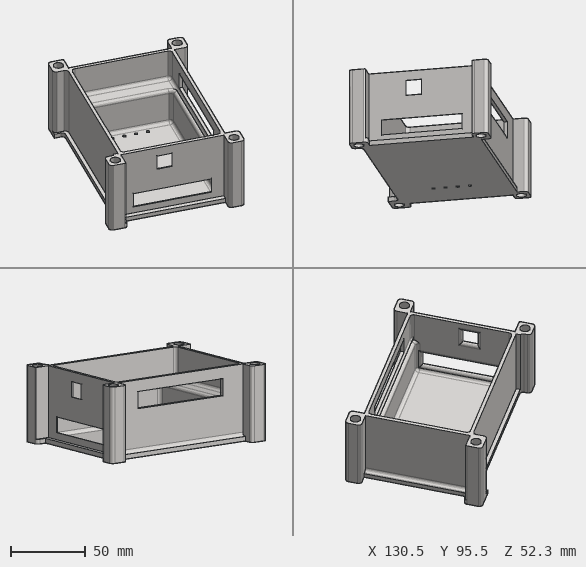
import cadquery as cq
import math

length = 130.5
width = 95.5
height = 52.3

radius = 2.5

box_length = 109.3
box_width = 75.7
wall = 2.5

base_length = 116.1
base_width = 81.1
base_height = 3.3

post_length = 12.8
post_width = 11.4
foot_shift = 1.5
screw_hole_diameter = 6.8
screw_hole_inset = 5.7

floor_height = 3.7
shelf_height = 29.7
left_shelf = 13.3
back_shelf = 3.7

pin_diameter = 2.1
pin_pitch = 8.3
pin_count = 4
pin_x = -33.5

back_window_length = 71.2
back_window_bottom = 32.6
back_window_top = 44.4

low_window_width = 55.3
low_window_bottom = 8.1
low_window_height = 10.7
square_window_size = 10.6
square_window_y = -5.5
square_window_z = 40.3

x_end = length / 2
y_end = width / 2
post_x = x_end - post_length
post_y = y_end - post_width
cavity_x = box_length / 2 - wall
cavity_y = box_width / 2 - wall

full_x = (-x_end, x_end)
full_y = (-y_end, y_end)
full_z = (0, height)

near = 0.01


def make_block(x_range, y_range, z_range):
    """Box spanning the given (low, high) ranges."""
    x0, x1 = x_range
    y0, y1 = y_range
    z0, z1 = z_range
    return cq.Workplane("XY").box(x1 - x0, y1 - y0, z1 - z0, centered=False).translate((x0, y0, z0))


def make_centered_block(x_size, y_size, z_range):
    return make_block((-x_size / 2, x_size / 2), (-y_size / 2, y_size / 2), z_range)


def make_rounded_block(x_range, y_range, z_range, corner_radius):
    return make_block(x_range, y_range, z_range).edges("|Z").fillet(corner_radius)


def round_upright_edges(solid, points):
    """Round the vertical edges that pass through the given (x, y) points."""
    for x, y in points:
        corner = cq.selectors.BoxSelector((x - near, y - near, 0), (x + near, y + near, height))
        solid = solid.edges("|Z").edges(corner).fillet(radius)
    return solid


def make_footprint(z_range):
    """Base plate with four feet; the front feet are shifted right and back from their posts."""
    left_foot_x = -post_x + foot_shift
    right_foot_x = post_x + foot_shift
    front_foot_y = -post_y + foot_shift
    feet = [
        ((-x_end, left_foot_x), (-y_end, front_foot_y)),
        ((right_foot_x, x_end), (-y_end, front_foot_y)),
        ((-x_end, -post_x), (post_y, y_end)),
        ((post_x, x_end), (post_y, y_end)),
    ]
    plate = make_centered_block(base_length, base_width, z_range)
    for x_range, y_range in feet:
        plate = plate.union(make_block(x_range, y_range, z_range))

    front_corners = [
        (-x_end, -y_end),
        (-x_end, front_foot_y),
        (right_foot_x, -y_end),
        (x_end, -y_end),
        (x_end, front_foot_y),
    ]
    back_corners = []
    for side in (-1, 1):
        back_corners += [(side * x_end, y_end), (side * post_x, y_end), (side * x_end, post_y)]
    inner_corners = [
        (left_foot_x, -base_width / 2),
        (right_foot_x, -base_width / 2),
        (-base_length / 2, front_foot_y),
    ]
    return round_upright_edges(plate, front_corners + back_corners + inner_corners)


def make_box_and_posts():
    """Solid block of the box with four full-height corner posts."""
    upper = make_centered_block(box_length, box_width, full_z)
    for x_range in ((-x_end, -post_x), (post_x, x_end)):
        for y_range in ((-y_end, -post_y), (post_y, y_end)):
            upper = upper.union(make_block(x_range, y_range, full_z))
    return round_upright_edges(upper, [(-post_x, -y_end), (-post_x, -box_width / 2)])


def make_body():
    """Box and posts trimmed to the footprint, with the left and back walls blended into the base."""
    body = make_box_and_posts().intersect(make_footprint(full_z))
    body = body.union(make_footprint((0, base_height)))
    left_joint = cq.selectors.NearestToPointSelector((-box_length / 2, 0, base_height))
    back_joint = cq.selectors.NearestToPointSelector((0, box_width / 2, base_height))
    body = body.edges("|Y").edges(left_joint).fillet(radius)
    return body.edges("|X").edges(back_joint).fillet(radius)


def make_well(x_range, y_range):
    """Deep part of the cavity, with a rounded floor edge and a rounded rim at shelf level."""
    x0, x1 = x_range
    y0, y1 = y_range
    upright = (floor_height, height)
    well = make_rounded_block(x_range, y_range, upright, radius)
    well = well.faces("<Z").edges().fillet(radius)

    slab = make_block(full_x, full_y, (shelf_height, height))
    rim_edges = cq.selectors.BoxSelector(
        (x0 - near, y0 - near, shelf_height - near),
        (x1 + near, y1 + near, shelf_height + near),
    )
    well = well.union(slab).edges(rim_edges).fillet(radius)
    rim_x = (x0 - radius, x1 + radius)
    rim_y = (y0 - radius, y1 + radius)
    return well.intersect(make_rounded_block(rim_x, rim_y, upright, 2 * radius))


def make_cavity():
    """Inside of the box: full size above the shelf, narrower in the well below it."""
    x_range = (-cavity_x, cavity_x)
    y_range = (-cavity_y, cavity_y)
    above_shelf = make_rounded_block(x_range, y_range, (shelf_height, height), radius)
    above_shelf = above_shelf.faces("<Z").edges().fillet(radius)
    well = make_well((-cavity_x + left_shelf, cavity_x), (-cavity_y, cavity_y - back_shelf))
    outline = make_rounded_block(x_range, y_range, full_z, radius)
    return above_shelf.union(well.intersect(outline))


def make_back_window():
    half = back_window_length / 2
    return make_block((-half, half), (cavity_y, y_end), (back_window_bottom, back_window_top))


def make_flare(plane, opening):
    """Prism through the right wall that widens in a quarter round toward the cavity."""
    half = opening / 2
    mouth_x = cavity_x - radius / 2
    arc_middle = radius * (1 - math.sqrt(0.5))
    return (
        cq.Workplane(plane)
        .moveTo(mouth_x, -half - radius)
        .lineTo(cavity_x, -half - radius)
        .threePointArc((cavity_x + arc_middle, -half - arc_middle), (cavity_x + radius, -half))
        .lineTo(x_end, -half)
        .lineTo(x_end, half)
        .lineTo(cavity_x + radius, half)
        .threePointArc((cavity_x + arc_middle, half + arc_middle), (cavity_x, half + radius))
        .lineTo(mouth_x, half + radius)
        .close()
        .extrude(width, both=True)
    )


def make_flared_window(y_center, z_center, y_size, z_size):
    """Opening through the right wall whose inner rim is rounded on all four sides."""
    window = make_flare("XY", y_size).intersect(make_flare("XZ", z_size))
    return window.translate((0, y_center, z_center))


def make_pin_holes():
    return (
        cq.Workplane("XY")
        .center(pin_x, 0)
        .rarray(1.3, pin_pitch, 1, pin_count)
        .circle(pin_diameter / 2)
        .extrude(shelf_height)
    )


def make_screw_holes():
    x_spacing = length - 2 * screw_hole_inset
    y_spacing = width - 2 * screw_hole_inset
    return (
        cq.Workplane("XY")
        .rarray(x_spacing, y_spacing, 2, 2)
        .circle(screw_hole_diameter / 2)
        .extrude(height)
    )


low_window_z = low_window_bottom + low_window_height / 2
openings = [
    make_cavity(),
    make_back_window(),
    make_flared_window(0, low_window_z, low_window_width, low_window_height),
    make_flared_window(square_window_y, square_window_z, square_window_size, square_window_size),
    make_pin_holes(),
    make_screw_holes(),
]

result = make_body()
for opening in openings:
    result = result.cut(opening)